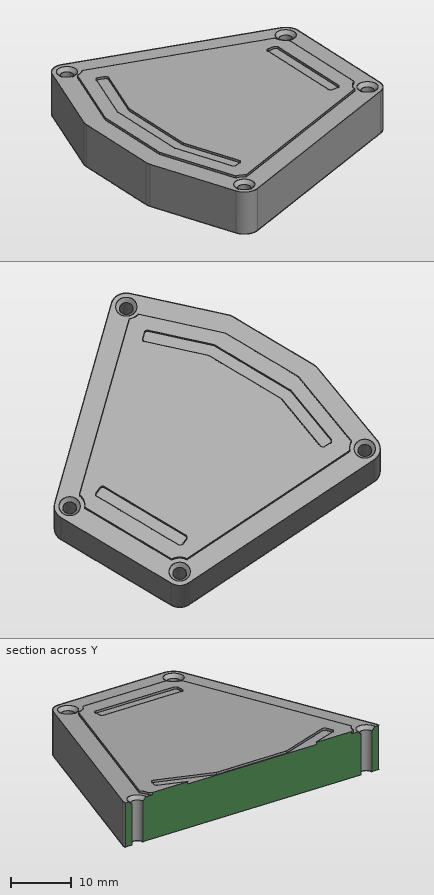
import cadquery as cq
import math

WIDTH = 52.32
DEPTH = 46.62
BODY_HEIGHT = 8.0
PANEL_HEIGHT = 0.4

CORNER_RADIUS = 2.55
TOP_CENTRE_X = 10.89
LOWER_CENTRE_X = WIDTH / 2 - CORNER_RADIUS
BOTTOM_CENTRE_X = 7.97
TOP_CENTRE_Y = DEPTH / 2 - CORNER_RADIUS
BOTTOM_CENTRE_Y = -TOP_CENTRE_Y
LOWER_SLOPE_ANGLE = 20.0
LOWER_CENTRE_Y = BOTTOM_CENTRE_Y + (
    (LOWER_CENTRE_X - BOTTOM_CENTRE_X) * math.tan(math.radians(LOWER_SLOPE_ANGLE))
)

HOLE_DIAMETER = 2.2
COUNTERSINK_DIAMETER = 3.5
COUNTERSINK_ANGLE = 90.0
HOLE_CENTRES = [
    (-TOP_CENTRE_X, TOP_CENTRE_Y),
    (TOP_CENTRE_X, TOP_CENTRE_Y),
    (LOWER_CENTRE_X, LOWER_CENTRE_Y),
    (-LOWER_CENTRE_X, LOWER_CENTRE_Y),
]

PANEL_MARGIN = 3.6
PANEL_BOTTOM_MARGIN = 3.4
PANEL_NOTCH_RADIUS = 2.5

SLOT_WIDTH = 2.15
SLOT_CORNER_RADIUS = 0.5
SLOT_GAP = 2.8
STRAIGHT_SLOT_LENGTH = 17.1
BENT_SLOT_BEND_X = 7.4
BENT_SLOT_END_X = 18.2


def outline_centres():
    """Corner arc centres, clockwise from the top left."""
    bottom_right = (BOTTOM_CENTRE_X, BOTTOM_CENTRE_Y)
    bottom_left = (-BOTTOM_CENTRE_X, BOTTOM_CENTRE_Y)
    return HOLE_CENTRES[:3] + [bottom_right, bottom_left] + HOLE_CENTRES[3:]


def inset_polygon(points, insets):
    """Move each edge of a clockwise polygon inwards; edge i runs from point i to point i + 1."""
    lines = []
    for i, (x, y) in enumerate(points):
        next_x, next_y = points[(i + 1) % len(points)]
        length = math.hypot(next_x - x, next_y - y)
        normal_x = (next_y - y) / length
        normal_y = (x - next_x) / length
        lines.append((normal_x, normal_y, normal_x * x + normal_y * y + insets[i]))
    corners = []
    for i, (a2, b2, c2) in enumerate(lines):
        a1, b1, c1 = lines[i - 1]
        determinant = a1 * b2 - a2 * b1
        corners.append(((c1 * b2 - c2 * b1) / determinant, (a1 * c2 - a2 * c1) / determinant))
    return corners


def make_body():
    return (
        cq.Workplane("XY")
        .polyline(outline_centres())
        .close()
        .offset2D(CORNER_RADIUS, "arc")
        .extrude(BODY_HEIGHT)
    )


def make_panel():
    """Raised plate that follows the outline, notched around each screw hole."""
    side = PANEL_MARGIN - CORNER_RADIUS
    bottom = PANEL_BOTTOM_MARGIN - CORNER_RADIUS
    corners = inset_polygon(outline_centres(), [side, side, side, bottom, side, side])
    plane = cq.Workplane("XY").workplane(offset=BODY_HEIGHT)
    plate = plane.polyline(corners).close().extrude(PANEL_HEIGHT)
    notches = plane.pushPoints(HOLE_CENTRES).circle(PANEL_NOTCH_RADIUS).extrude(PANEL_HEIGHT)
    return plate.cut(notches)


def make_straight_slot():
    centre_y = DEPTH / 2 - PANEL_MARGIN - SLOT_GAP - SLOT_WIDTH / 2
    return (
        cq.Workplane("XY")
        .workplane(offset=BODY_HEIGHT)
        .center(0, centre_y)
        .rect(STRAIGHT_SLOT_LENGTH, SLOT_WIDTH)
        .extrude(PANEL_HEIGHT)
        .edges("|Z")
        .fillet(SLOT_CORNER_RADIUS)
    )


def make_bent_slot():
    """Constant-width band: flat in the middle, with both arms rising at the lower slope angle."""
    slope = math.radians(LOWER_SLOPE_ANGLE)
    half_width = SLOT_WIDTH / 2
    bend_y = -DEPTH / 2 + PANEL_BOTTOM_MARGIN + SLOT_GAP + half_width
    end_y = bend_y + (BENT_SLOT_END_X - BENT_SLOT_BEND_X) * math.tan(slope)
    bend_shift = half_width * math.tan(slope / 2)
    end_shift_x = half_width * math.sin(slope)
    end_shift_y = half_width * math.cos(slope)

    right_half = [
        (BENT_SLOT_BEND_X - bend_shift, bend_y + half_width),
        (BENT_SLOT_END_X - end_shift_x, end_y + end_shift_y),
        (BENT_SLOT_END_X + end_shift_x, end_y - end_shift_y),
        (BENT_SLOT_BEND_X + bend_shift, bend_y - half_width),
    ]
    left_half = [(-x, y) for x, y in reversed(right_half)]
    band = (
        cq.Workplane("XY")
        .workplane(offset=BODY_HEIGHT)
        .polyline(right_half + left_half)
        .close()
        .extrude(PANEL_HEIGHT)
    )
    middle_of_arm_x = (BENT_SLOT_BEND_X + BENT_SLOT_END_X) / 2
    end_edges = band.edges("|Z").filter(lambda edge: abs(edge.Center().x) > middle_of_arm_x)
    return end_edges.fillet(SLOT_CORNER_RADIUS)


def drill_holes(body):
    return (
        body.faces(">Z")
        .workplane(origin=(0, 0, BODY_HEIGHT))
        .pushPoints(HOLE_CENTRES)
        .cskHole(HOLE_DIAMETER, COUNTERSINK_DIAMETER, COUNTERSINK_ANGLE)
    )


panel = make_panel().cut(make_straight_slot()).cut(make_bent_slot())
result = drill_holes(make_body()).union(panel)